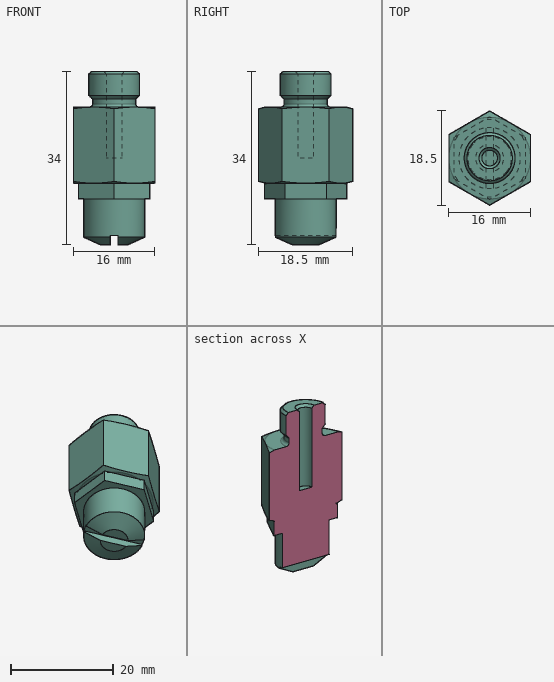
import cadquery as cq
import math

total_height = 34.0
nut_top = 27.0
nut_bottom = 12.0
collar_bottom = 9.0

nut_flats = 16.0
collar_flats = 14.0
nut_chamfer_angle = 15.0
nut_bottom_face_radius = 7.6

tip_radius = 6.0
tip_end_radius = 2.72
tip_cone_height = 1.5
slot_width = 1.5
slot_depth = 1.8

stud_radius = 5.0
stud_chamfer = 0.55
neck_radius = 4.25
neck_fillet = 0.65
neck_top = 28.55
undercut_height = stud_radius - neck_radius

bore_radius = 1.53
bore_chamfer = 0.55
bore_depth = 17.0


def hexagon(flats, bottom, top):
    """Hexagonal prism with two corners on the Y axis."""
    corner_diameter = flats / math.cos(math.radians(30))
    prism = cq.Workplane("XY").workplane(offset=bottom).polygon(6, corner_diameter).extrude(top - bottom)
    return prism.rotate((0, 0, 0), (0, 0, 1), 30)


def make_nut():
    """Hexagon whose corners are turned down by a shallow cone at both ends."""
    top_face_radius = nut_flats / 2
    outer_radius = nut_flats
    slope = math.tan(math.radians(nut_chamfer_angle))
    turned = (
        cq.Workplane("XZ")
        .moveTo(0, nut_bottom)
        .lineTo(nut_bottom_face_radius, nut_bottom)
        .lineTo(outer_radius, nut_bottom + (outer_radius - nut_bottom_face_radius) * slope)
        .lineTo(outer_radius, nut_top - (outer_radius - top_face_radius) * slope)
        .lineTo(top_face_radius, nut_top)
        .lineTo(0, nut_top)
        .close()
        .revolve(360, (0, 0, 0), (0, 1, 0))
    )
    return hexagon(nut_flats, nut_bottom, nut_top).intersect(turned)


def make_tip():
    """Cylinder ending in a blunt cone, with a screwdriver slot along Y."""
    tip = (
        cq.Workplane("XZ")
        .lineTo(tip_end_radius, 0)
        .lineTo(tip_radius, tip_cone_height)
        .lineTo(tip_radius, collar_bottom)
        .lineTo(0, collar_bottom)
        .close()
        .revolve(360, (0, 0, 0), (0, 1, 0))
    )
    slot = cq.Workplane("XY").rect(slot_width, 2 * tip_radius).extrude(slot_depth)
    return tip.cut(slot)


def make_stud():
    """Chamfered stud on an undercut neck that flares into the nut."""
    return (
        cq.Workplane("XZ")
        .moveTo(0, nut_top)
        .lineTo(neck_radius + neck_fillet, nut_top)
        .radiusArc((neck_radius, nut_top + neck_fillet), neck_fillet)
        .lineTo(neck_radius, neck_top)
        .lineTo(stud_radius, neck_top + undercut_height)
        .lineTo(stud_radius, total_height - stud_chamfer)
        .lineTo(stud_radius - stud_chamfer, total_height)
        .lineTo(0, total_height)
        .close()
        .revolve(360, (0, 0, 0), (0, 1, 0))
    )


def make_bore():
    """Blind bore with a countersunk mouth."""
    return (
        cq.Workplane("XZ")
        .moveTo(0, total_height)
        .lineTo(bore_radius + bore_chamfer, total_height)
        .lineTo(bore_radius, total_height - bore_chamfer)
        .lineTo(bore_radius, total_height - bore_depth)
        .lineTo(0, total_height - bore_depth)
        .close()
        .revolve(360, (0, 0, 0), (0, 1, 0))
    )


collar = hexagon(collar_flats, collar_bottom, nut_bottom)
result = make_tip().union(collar).union(make_nut()).union(make_stud()).cut(make_bore())